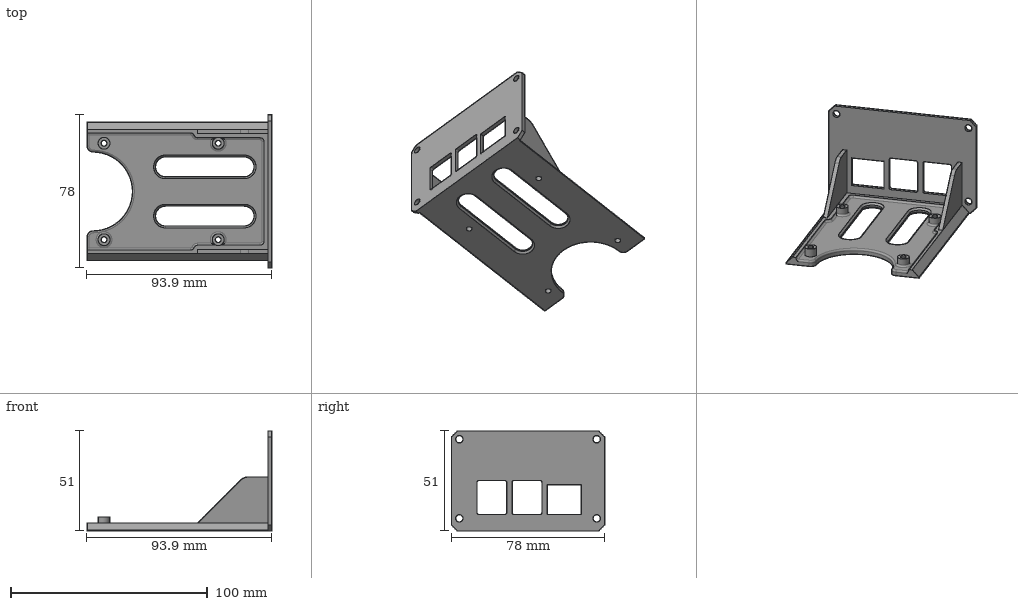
import cadquery as cq
import math

PLATE_THICK = 2.0
PLATE_WIDTH = 78.0
PLATE_HEIGHT = 51.0
PLATE_CHAMFER = 3.2
PLATE_HOLE_DIA = 3.6
PLATE_HOLE_Y = 34.9
PLATE_HOLE_Z = (6.5, 46.7)

WINDOW_BOTTOM = 8.5
SHORT_SIDE = 15.0
LONG_SIDE = 17.2
WINDOW_CORNER_RADIUS = 0.9
WINDOWS = (
    (18.4, LONG_SIDE, SHORT_SIDE, 0.0),
    (-0.5, SHORT_SIDE, LONG_SIDE, WINDOW_CORNER_RADIUS),
    (-18.4, SHORT_SIDE, LONG_SIDE, WINDOW_CORNER_RADIUS),
)

TOTAL_LENGTH = 93.9
BASE_LENGTH = TOTAL_LENGTH - PLATE_THICK
BASE_HEIGHT = 4.2
BASE_SIDE_HEIGHT = 0.6
BASE_TOP_HALF = 31.6
BASE_BOTTOM_HALF = BASE_TOP_HALF + BASE_HEIGHT - BASE_SIDE_HEIGHT

FLOOR_Z = 3.0
POCKET_WIDE_HALF = 29.8
POCKET_NARROW_HALF = 27.3
POCKET_END_WALL = 2.0
POCKET_END = BASE_LENGTH - POCKET_END_WALL
POCKET_STEP_END = 56.2
POCKET_STEP_RADIUS = 2.0
POCKET_CORNER_RADIUS = 2.0
EDGE_RADIUS = 1.0
OVERSHOOT = 5.0

CUTOUT_RADIUS = 20.0
CUTOUT_MOUTH_RADIUS = 3.0
CUTOUT_CENTER_X = CUTOUT_MOUTH_RADIUS

SLOT_LENGTH = 50.0
SLOT_WIDTH = 10.0
SLOT_CENTER_X = 59.8
SLOT_Y = 12.5
SLOT_CHAMFER = 1.0
SLOT_CHAMFER_ANGLE = 45

BOSS_DIA = 6.0
BOSS_HOLE_DIA = 2.8
BOSS_TOP_Z = 7.2
BOSS_FOOT_RADIUS = 1.0
BOSS_REAR_X = 8.6
BOSS_SPACING_X = 58.0
BOSS_FRONT_X = BOSS_REAR_X + BOSS_SPACING_X
BOSS_Y = 24.5
BOSSES = (
    (BOSS_REAR_X, BOSS_Y, False),
    (BOSS_REAR_X, -BOSS_Y, True),
    (BOSS_FRONT_X, BOSS_Y, True),
    (BOSS_FRONT_X, -BOSS_Y, True),
)

GUSSET_THICK = 2.2
GUSSET_TOP_Z = 27.6
GUSSET_START_X = POCKET_STEP_END
GUSSET_RADIUS = 6.0


def make_base():
    """Slab with sloping sides, running along X."""
    half_profile = [
        (BASE_BOTTOM_HALF, 0),
        (BASE_BOTTOM_HALF, BASE_SIDE_HEIGHT),
        (BASE_TOP_HALF, BASE_HEIGHT),
    ]
    mirrored = [(-y, z) for y, z in reversed(half_profile)]
    return cq.Workplane("YZ").polyline(half_profile + mirrored).close().extrude(BASE_LENGTH)


def make_half_pocket():
    """+Y half of the recess; its side steps inwards through two equal tangent arcs."""
    step_depth = POCKET_WIDE_HALF - POCKET_NARROW_HALF
    turn_angle = math.acos(1 - step_depth / (2 * POCKET_STEP_RADIUS))
    step_start = POCKET_STEP_END - 2 * POCKET_STEP_RADIUS * math.sin(turn_angle)
    step_middle = ((step_start + POCKET_STEP_END) / 2, (POCKET_WIDE_HALF + POCKET_NARROW_HALF) / 2)
    return (
        cq.Workplane("XY")
        .workplane(offset=FLOOR_Z)
        .moveTo(-OVERSHOOT, 0)
        .lineTo(-OVERSHOOT, POCKET_WIDE_HALF)
        .lineTo(step_start, POCKET_WIDE_HALF)
        .tangentArcPoint(step_middle, relative=False)
        .tangentArcPoint((POCKET_STEP_END, POCKET_NARROW_HALF), relative=False)
        .lineTo(POCKET_END, POCKET_NARROW_HALF)
        .lineTo(POCKET_END, 0)
        .close()
        .extrude(BASE_HEIGHT - FLOOR_Z)
    )


def make_pocket():
    """Volume of the stepped recess, with sharp edges along its floor."""
    half_pocket = make_half_pocket()
    pocket = half_pocket.union(half_pocket.mirror("XZ")).clean()
    return pocket.edges("|Z and >X").fillet(POCKET_CORNER_RADIUS)


def make_cutout():
    """Half-round bite in the -X edge, flaring out at its mouth."""
    mouth_half = CUTOUT_RADIUS + CUTOUT_MOUTH_RADIUS
    bulge = CUTOUT_MOUTH_RADIUS * (1 - math.sqrt(0.5))
    return (
        cq.Workplane("XY")
        .moveTo(-OVERSHOOT, mouth_half)
        .lineTo(0, mouth_half)
        .threePointArc((bulge, CUTOUT_RADIUS + bulge), (CUTOUT_CENTER_X, CUTOUT_RADIUS))
        .threePointArc((CUTOUT_CENTER_X + CUTOUT_RADIUS, 0), (CUTOUT_CENTER_X, -CUTOUT_RADIUS))
        .threePointArc((bulge, -CUTOUT_RADIUS - bulge), (0, -mouth_half))
        .lineTo(-OVERSHOOT, -mouth_half)
        .close()
        .extrude(BASE_HEIGHT)
    )


def round_rear_edge(base):
    """Round the upper edge of the floor along the -X end and the cutout."""
    rear_edges = cq.selectors.BoxSelector(
        (-EDGE_RADIUS, -POCKET_WIDE_HALF, 0),
        (CUTOUT_CENTER_X + CUTOUT_RADIUS + EDGE_RADIUS, POCKET_WIDE_HALF, BASE_HEIGHT),
    )
    floor = base.faces("|Z").faces("<Z[1]")
    return floor.edges(rear_edges).fillet(EDGE_RADIUS)


def make_wall_blend():
    """Concave strip between the recess walls and its flat floor."""
    sharp = make_pocket()
    rounded = sharp.faces("<Z").edges("not <X").fillet(EDGE_RADIUS)
    flat_floor_zone = cq.Workplane("XY").box(
        BASE_LENGTH, 2 * BASE_TOP_HALF, BASE_HEIGHT, centered=(False, True, False)
    )
    return sharp.cut(rounded).intersect(flat_floor_zone.translate((EDGE_RADIUS, 0, 0)))


def make_rear_blend():
    """+Y end of the concave strip, bending down over the rounded -X edge of the floor."""
    blend_start = POCKET_WIDE_HALF - EDGE_RADIUS
    chord_offset = EDGE_RADIUS * math.sqrt(0.5)
    bend = (
        cq.Workplane("YZ", origin=(EDGE_RADIUS, 0, FLOOR_Z - EDGE_RADIUS))
        .moveTo(POCKET_WIDE_HALF, EDGE_RADIUS)
        .lineTo(blend_start, EDGE_RADIUS)
        .threePointArc(
            (blend_start + chord_offset, 2 * EDGE_RADIUS - chord_offset),
            (POCKET_WIDE_HALF, 2 * EDGE_RADIUS),
        )
        .close()
        .revolve(90, (0, 0, 0), (-1, 0, 0))
    )
    return bend.intersect(make_base())


def make_slots():
    """Two long holes, chamfered at both rims."""
    centers = [(SLOT_CENTER_X, SLOT_Y), (SLOT_CENTER_X, -SLOT_Y)]
    through = cq.Workplane("XY").pushPoints(centers).slot2D(SLOT_LENGTH, SLOT_WIDTH).extrude(FLOOR_Z)
    for rim_z, inward in ((FLOOR_Z, -SLOT_CHAMFER), (0, SLOT_CHAMFER)):
        rim = (
            cq.Workplane("XY")
            .workplane(offset=rim_z)
            .pushPoints(centers)
            .slot2D(SLOT_LENGTH + 2 * SLOT_CHAMFER, SLOT_WIDTH + 2 * SLOT_CHAMFER)
            .extrude(inward, taper=SLOT_CHAMFER_ANGLE)
        )
        through = through.union(rim)
    return through


def make_boss(x, y, filleted):
    """Standoff on the floor, with a concave foot if filleted."""
    radius = BOSS_DIA / 2
    boss = cq.Workplane("XY").workplane(offset=FLOOR_Z).circle(radius).extrude(BOSS_TOP_Z - FLOOR_Z)
    if filleted:
        sag = BOSS_FOOT_RADIUS * (1 - math.sqrt(0.5))
        foot = (
            cq.Workplane("XZ")
            .moveTo(0, FLOOR_Z)
            .lineTo(radius + BOSS_FOOT_RADIUS, FLOOR_Z)
            .threePointArc((radius + sag, FLOOR_Z + sag), (radius, FLOOR_Z + BOSS_FOOT_RADIUS))
            .lineTo(0, FLOOR_Z + BOSS_FOOT_RADIUS)
            .close()
            .revolve(360, (0, 0, 0), (0, 1, 0))
        )
        boss = boss.union(foot)
    return boss.translate((x, y, 0))


def make_boss_hole(x, y):
    """Bore right through a standoff and the floor."""
    return cq.Workplane("XY").center(x, y).circle(BOSS_HOLE_DIA / 2).extrude(BOSS_TOP_Z)


def make_plate():
    """Upright plate with chamfered corners, mounting holes and windows."""
    plate = cq.Workplane("XY").box(PLATE_THICK, PLATE_WIDTH, PLATE_HEIGHT, centered=(False, True, False))
    plate = plate.edges("|X").chamfer(PLATE_CHAMFER)
    hole_centers = [(y, z) for y in (-PLATE_HOLE_Y, PLATE_HOLE_Y) for z in PLATE_HOLE_Z]
    holes = cq.Workplane("YZ").pushPoints(hole_centers).circle(PLATE_HOLE_DIA / 2).extrude(PLATE_THICK)
    plate = plate.cut(holes)
    for center_y, width, height, corner_radius in WINDOWS:
        window = cq.Workplane("XY").box(PLATE_THICK, width, height, centered=(False, True, False))
        if corner_radius > 0:
            window = window.edges("|X").fillet(corner_radius)
        plate = plate.cut(window.translate((0, center_y, WINDOW_BOTTOM)))
    return plate.translate((BASE_LENGTH, 0, 0))


def make_gusset(outer_y):
    """Upright web rising at 45 degrees; outer_y is its face towards +Y."""
    slope_top_x = GUSSET_START_X + GUSSET_TOP_Z - BASE_HEIGHT
    outline = [
        (GUSSET_START_X, BASE_HEIGHT),
        (slope_top_x, GUSSET_TOP_Z),
        (BASE_LENGTH, GUSSET_TOP_Z),
        (BASE_LENGTH, BASE_HEIGHT),
    ]
    gusset = cq.Workplane("XZ").polyline(outline).close().extrude(GUSSET_THICK)
    slope_top = cq.selectors.NearestToPointSelector((slope_top_x, 0, GUSSET_TOP_Z))
    return gusset.edges("|Y").edges(slope_top).fillet(GUSSET_RADIUS).translate((0, outer_y, 0))


base = make_base().cut(make_pocket()).cut(make_cutout())
base = round_rear_edge(base)
rear_blend = make_rear_blend()
base = base.union(make_wall_blend()).union(rear_blend).union(rear_blend.mirror("XZ"))
base = base.cut(make_slots())

result = base.union(make_plate())
for gusset_y in (BASE_TOP_HALF, GUSSET_THICK - BASE_TOP_HALF):
    result = result.union(make_gusset(gusset_y))
for boss_x, boss_y, foot_filleted in BOSSES:
    result = result.union(make_boss(boss_x, boss_y, foot_filleted))
for boss_x, boss_y, _ in BOSSES:
    result = result.cut(make_boss_hole(boss_x, boss_y))